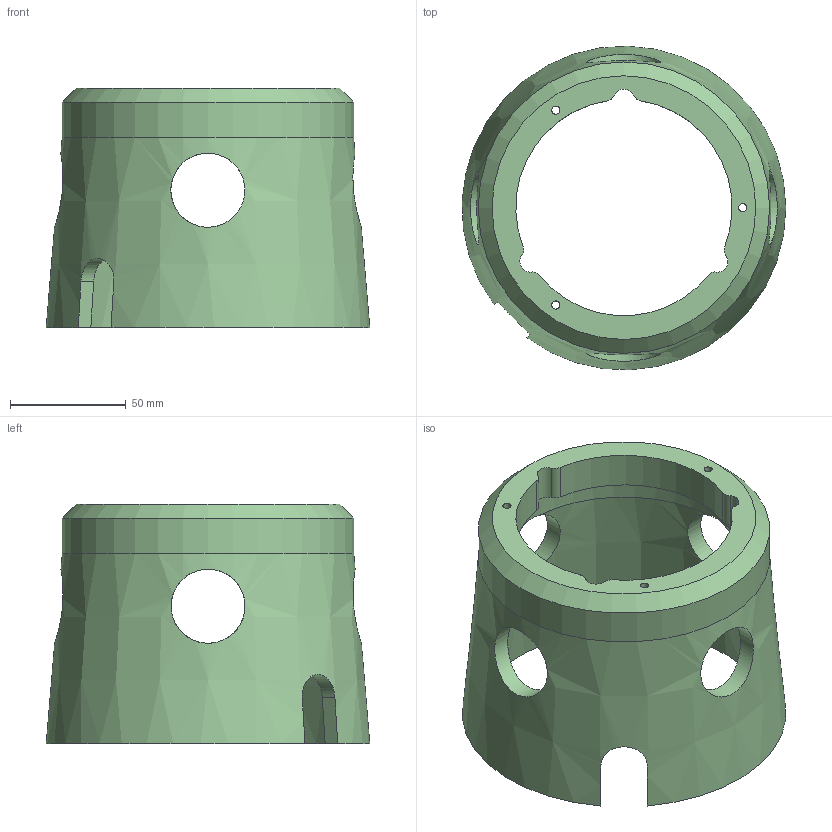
import cadquery as cq
import math

height = 103.6
base_radius = 70.0
collar_radius = 63.0
collar_height = 21.2
top_chamfer = 6.0
skirt_height = height - collar_height

bore_radius = 46.75
ring_thickness = 15.6
relief_radius = 56.0
relief_bottom = 75.0
cavity_base_radius = 62.4
ring_bottom = height - ring_thickness

notch_radius = 4.5
notch_fillet = 4.0
notch_angles = (90, 210, 330)

screw_diameter = 3.5
screw_circle_radius = 51.4
screw_angles = (0, 125, 235)

window_diameter = 32.0
window_center_height = 59.5

slot_width = 20.0
slot_straight_height = 20.0
slot_angle = 225


def make_shell():
    """Revolved outer body with the stepped, tapering interior."""
    profile = [
        (cavity_base_radius, 0),
        (base_radius, 0),
        (collar_radius, skirt_height),
        (collar_radius, height - top_chamfer),
        (collar_radius - top_chamfer, height),
        (bore_radius, height),
        (bore_radius, ring_bottom),
        (relief_radius, ring_bottom),
        (relief_radius, relief_bottom),
    ]
    return cq.Workplane("XZ").polyline(profile).close().revolve(360, (0, 0), (0, 1))


def make_notch(angle):
    """Cutter for one notch: a round pocket blended into the bore by two fillets."""
    fillet_center_radius = bore_radius + notch_fillet
    center_gap = notch_radius + notch_fillet
    cos_spread = (bore_radius**2 + fillet_center_radius**2 - center_gap**2) / (
        2 * bore_radius * fillet_center_radius
    )
    spread = math.acos(cos_spread)
    fillet_x = fillet_center_radius * math.cos(spread)
    fillet_y = fillet_center_radius * math.sin(spread)

    bore_touch_x = bore_radius * math.cos(spread)
    bore_touch_y = bore_radius * math.sin(spread)
    notch_touch_x = bore_radius + (fillet_x - bore_radius) * notch_radius / center_gap
    notch_touch_y = fillet_y * notch_radius / center_gap

    to_bore = math.atan2(bore_touch_y - fillet_y, bore_touch_x - fillet_x)
    to_notch = math.atan2(notch_touch_y - fillet_y, notch_touch_x - fillet_x)
    middle = (to_bore % math.tau + to_notch % math.tau) / 2
    middle_x = fillet_x + notch_fillet * math.cos(middle)
    middle_y = fillet_y + notch_fillet * math.sin(middle)

    return (
        cq.Workplane("XY", origin=(0, 0, ring_bottom))
        .moveTo(0, 0)
        .lineTo(bore_touch_x, -bore_touch_y)
        .threePointArc((middle_x, -middle_y), (notch_touch_x, -notch_touch_y))
        .threePointArc((bore_radius + notch_radius, 0), (notch_touch_x, notch_touch_y))
        .threePointArc((middle_x, middle_y), (bore_touch_x, bore_touch_y))
        .close()
        .extrude(ring_thickness)
        .rotate((0, 0, 0), (0, 0, 1), angle)
    )


def make_screw_hole(angle):
    """Cutter for one small hole through the top ring."""
    return (
        cq.Workplane("XY", origin=(0, 0, ring_bottom))
        .center(screw_circle_radius, 0)
        .circle(screw_diameter / 2)
        .extrude(ring_thickness)
        .rotate((0, 0, 0), (0, 0, 1), angle)
    )


def make_window_pair(plane):
    """Cutter for two opposite windows, a cylinder across the whole part."""
    return (
        cq.Workplane(plane, origin=(0, 0, window_center_height))
        .circle(window_diameter / 2)
        .extrude(base_radius, both=True)
    )


def make_slot():
    """Cutter for the slot through one side of the skirt, running outward from the axis."""
    half_width = slot_width / 2
    return (
        cq.Workplane("YZ")
        .moveTo(-half_width, 0)
        .lineTo(half_width, 0)
        .lineTo(half_width, slot_straight_height)
        .threePointArc((0, slot_straight_height + half_width), (-half_width, slot_straight_height))
        .close()
        .extrude(base_radius)
        .rotate((0, 0, 0), (0, 0, 1), slot_angle)
    )


result = make_shell()
for notch_angle in notch_angles:
    result = result.cut(make_notch(notch_angle))
for screw_angle in screw_angles:
    result = result.cut(make_screw_hole(screw_angle))
for window_plane in ("XZ", "YZ"):
    result = result.cut(make_window_pair(window_plane))
result = result.cut(make_slot())